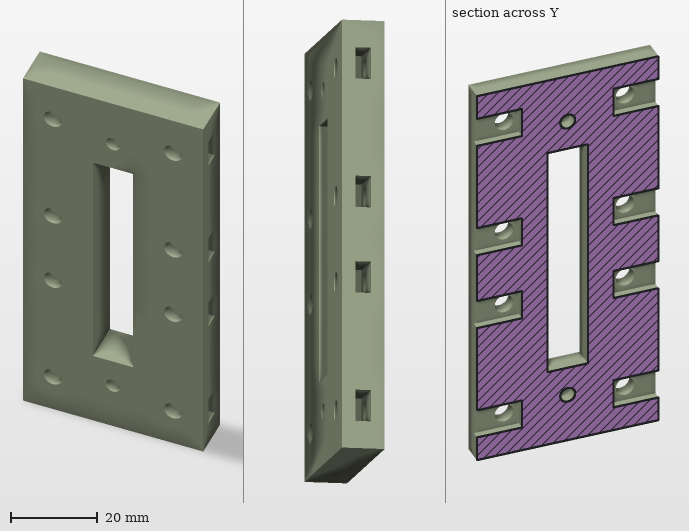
import cadquery as cq

plate_width = 45.0
plate_thickness = 10.0
plate_height = 100.0

window_width = 10.0
window_height = 60.0

bolt_hole_diameter = 4.6
bolt_column_offset = 15.0
bolt_rows = [-40.0, -10.0, 10.0, 40.0]

small_hole_diameter = 3.6
small_hole_offset = 37.5

nut_slot_thickness = 3.6
nut_slot_height = 7.3
nut_slot_depth = plate_width / 2 - bolt_column_offset + nut_slot_height / 2


def make_plate():
    return cq.Workplane("XY").box(plate_width, plate_thickness, plate_height)


def make_window():
    return cq.Workplane("XY").box(window_width, plate_thickness, window_height)


def make_through_holes(points, diameter):
    """Cylinders along Y at the given (x, z) points, spanning the thickness."""
    return (
        cq.Workplane("XZ")
        .pushPoints(points)
        .circle(diameter / 2)
        .extrude(plate_thickness / 2, both=True)
    )


def make_nut_slot(side, z):
    """Pocket in the side edge; side is -1 for the -X edge and +1 for the +X edge."""
    x = side * (plate_width - nut_slot_depth) / 2
    return (
        cq.Workplane("XY")
        .box(nut_slot_depth, nut_slot_thickness, nut_slot_height)
        .translate((x, 0, z))
    )


sides = (-1, 1)
bolt_points = [(side * bolt_column_offset, z) for side in sides for z in bolt_rows]
small_points = [(0, side * small_hole_offset) for side in sides]

result = make_plate().cut(make_window())
result = result.cut(make_through_holes(bolt_points, bolt_hole_diameter))
result = result.cut(make_through_holes(small_points, small_hole_diameter))
for side in sides:
    for row in bolt_rows:
        result = result.cut(make_nut_slot(side, row))